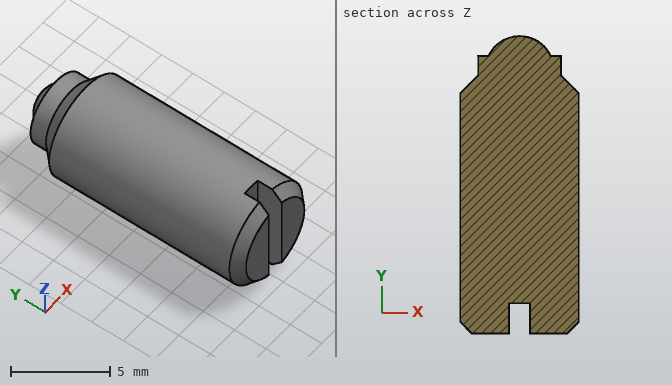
import math

import cadquery as cq

total_length = 15.0
body_radius = 3.0
collar_radius = 2.1
ball_radius = 1.74
ball_projection = 1.0
collar_length = 0.99
end_chamfer = 0.6
slot_width = 1.05
slot_depth = 1.53

ball_center = total_length - ball_radius
collar_end = total_length - ball_projection
collar_start = collar_end - collar_length
shoulder_start = collar_start - (body_radius - collar_radius)

ball_edge_radius = math.sqrt(ball_radius**2 - (collar_end - ball_center) ** 2)
arc_middle_angle = math.atan2(ball_edge_radius, collar_end - ball_center) / 2
arc_middle = (
    ball_radius * math.sin(arc_middle_angle),
    ball_center + ball_radius * math.cos(arc_middle_angle),
)

plunger = (
    cq.Workplane("XY")
    .lineTo(body_radius - end_chamfer, 0)
    .lineTo(body_radius, end_chamfer)
    .lineTo(body_radius, shoulder_start)
    .lineTo(collar_radius, collar_start)
    .lineTo(collar_radius, collar_end)
    .lineTo(ball_edge_radius, collar_end)
    .threePointArc(arc_middle, (0, total_length))
    .close()
    .revolve(360, (0, 0), (0, 1))
)

slot = cq.Workplane("XY").box(
    slot_width, slot_depth, 2 * body_radius, centered=(True, False, True)
)

result = plunger.cut(slot)